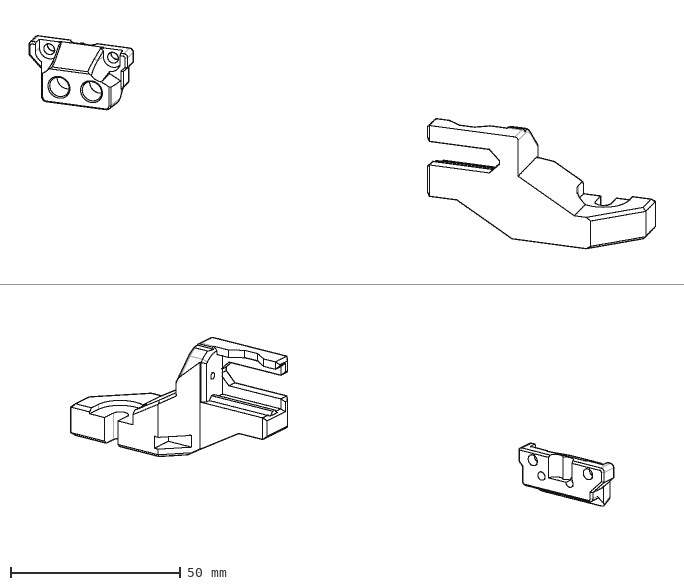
import cadquery as cq
import math

FORK_LEFT = 131.7
FOOT_RIGHT = 196.0
TOTAL_DEPTH = 25.3
TOTAL_HEIGHT = 34.0
EDGE_CHAMFER = 1.0
NEAR = 0.2
MARGIN = 2.0

FORK_TOP = 32.5
LOWER_ARM_BOTTOM = 10.0
FOOT_TOP = 10.0
FOOT_DEPTH = 21.2
ARM_DEPTH = 12.3
RAMP_ANGLE = 30.0
WALL_RIGHT = 160.5
RAMP_TOP = 20.2
LOWER_RAMP_LEFT = 141.3
FOOT_CORNER_CUT = 12.7

SLOT_BOTTOM = 20.0
SLOT_TOP = 27.5
SLOT_STRAIGHT_END = 151.5
SLOT_TAPER = 3.1

SHOULDER_LEFT = 155.5
BLOCK_LEFT = 153.8
FRONT_WALL = 3.1
SHELF_Z = 16.9
WEB_BOTTOM = 30.2
WEB_DEPTH = 5.9
ROOF_RADIUS = 8.0
ROOF_FALL_ANGLE = 45.0
BLOCK_CHAMFER = 1.2

RIB_CENTRE_Y = 8.0
RIB_BASE = 3.5
RIB_HEIGHT = 1.2
ROOF_GROOVE_WIDTH = 2.7
ROOF_GROOVE_DEPTH = 0.5
WIRE_HOLE_D = 2.0
WIRE_HOLE_Z = 24.1
WIRE_HOLE_DEPTH = 4.0

SCALLOP_X = 143.3
SCALLOP_TOP_WIDTH = 12.7
SCALLOP_FLOOR_WIDTH = 4.7
SCALLOP_DEPTH = 2.5

SCREW_X = 181.3
SCREW_Y = 16.7
SCREW_SLOT_WIDTH = 4.9
SCREW_SEAT_RADIUS = 7.8
SCREW_SEAT_DEPTH = 1.5

NUT_SLOT_BOTTOM = 2.7
NUT_SLOT_TOP = 6.5
NUT_SLOT_FRONT = 14.1
NUT_SLOT_END = 165.5

PLATE_WIDTH = 31.0
PLATE_FRONT = 19.2
PLATE_BOTTOM = 22.3
PLATE_EAR_BOTTOM = 29.5
PLATE_CHAMFER = 0.5
PLATE_CORNER_RADIUS = 1.2
PLATE_NECK_LEFT = 4.1
PLATE_NECK_RIGHT = 29.5

BODY_FRONT = 12.2
BODY_BOTTOM = 18.5
BODY_FRONT_LEFT = 6.7
BODY_FRONT_RIGHT = 28.2
BODY_BACK_RIGHT = 29.0
BODY_CORNER_RADIUS = 1.5
RIM_CHAMFER = 0.4
ROOF_FRONT_Z = 29.5
ROOF_BACK_Y = 22.5
ROOF_CHAMFER = 0.8
HEEL_BACK_Y = 17.2

EAR_HOLE_X = 5.5
EAR_HOLE_SPACING = 20.0
EAR_HOLE_Z = 31.2
EAR_HOLE_D = 3.3
HEAD_POCKET_D = 6.0
HEAD_SEAT_Y = 22.1
DRIVER_GROOVE_RADIUS = 4.0
SHOULDER_ANGLE = 28.0

BORE_X = 12.2
BORE_SPACING = 10.2
BORE_Z = 23.7
BORE_D = 6.0
BORE_DEPTH = 6.9
PASSAGE_D = 2.5
PASSAGE_Z = 26.8

NOTCH_SPACING = 3.7
NOTCH_RADIUS = 2.4


def box(x, y, z):
    """Box between the given (low, high) limits on each axis."""
    size = [high - low for low, high in (x, y, z)]
    return cq.Workplane("XY").box(*size, centered=False).translate((x[0], y[0], z[0]))


def extrude_y(points, front, back):
    """Closed XZ outline extruded from y = front to y = back."""
    return cq.Workplane("XZ", origin=(0, front, 0)).polyline(points).close().extrude(front - back)


def extrude_z(points, bottom, top):
    """Closed XY outline extruded from z = bottom to z = top."""
    return cq.Workplane("XY", origin=(0, 0, bottom)).polyline(points).close().extrude(top - bottom)


def cylinder_y(x, z, radius, front, back):
    """Round bar along Y."""
    return cq.Workplane("XZ", origin=(x, front, z)).circle(radius).extrude(front - back)


def cone_y(x, z, front_radius, back_radius, front, back):
    """Truncated cone along Y."""
    base = cq.Vector(x, front, z)
    return cq.Workplane(cq.Solid.makeCone(front_radius, back_radius, back - front, base, cq.Vector(0, 1, 0)))


def bracket_blank():
    """Side outline crossed with the plan outline, with the foot edges chamfered."""
    ramp = math.tan(math.radians(RAMP_ANGLE))
    ramp_foot = WALL_RIGHT + (RAMP_TOP - FOOT_TOP) / ramp
    side = [
        (FORK_LEFT, LOWER_ARM_BOTTOM),
        (LOWER_RAMP_LEFT, LOWER_ARM_BOTTOM),
        (LOWER_RAMP_LEFT + LOWER_ARM_BOTTOM / ramp, 0),
        (FOOT_RIGHT, 0),
        (FOOT_RIGHT, FOOT_TOP),
        (ramp_foot, FOOT_TOP),
        (WALL_RIGHT, RAMP_TOP),
        (WALL_RIGHT, FORK_TOP),
        (FORK_LEFT, FORK_TOP),
    ]
    plan = [
        (FORK_LEFT, 0),
        (FOOT_RIGHT - FOOT_CORNER_CUT, 0),
        (FOOT_RIGHT, FOOT_CORNER_CUT),
        (FOOT_RIGHT, FOOT_DEPTH),
        (SHOULDER_LEFT + FOOT_DEPTH - ARM_DEPTH, FOOT_DEPTH),
        (SHOULDER_LEFT, ARM_DEPTH),
        (FORK_LEFT, ARM_DEPTH),
    ]
    blank = extrude_y(side, 0, FOOT_DEPTH).intersect(extrude_z(plan, 0, FORK_TOP))

    def on_foot_rim(edge):
        centre = edge.Center()
        across_top = abs(centre.x - ramp_foot) < NEAR
        return centre.x > WALL_RIGHT and centre.y > 0 and not across_top

    return blank.edges("not |Z").filter(on_foot_rim).chamfer(EDGE_CHAMFER)


def fork_cuts():
    """Opening between the arms, and the step behind its front wall."""
    slot = [
        (FORK_LEFT - MARGIN, SLOT_BOTTOM),
        (SLOT_STRAIGHT_END, SLOT_BOTTOM),
        (SLOT_STRAIGHT_END + SLOT_TAPER, SLOT_BOTTOM + SLOT_TAPER),
        (SLOT_STRAIGHT_END + SLOT_TAPER, SLOT_TOP - SLOT_TAPER),
        (SLOT_STRAIGHT_END, SLOT_TOP),
        (FORK_LEFT - MARGIN, SLOT_TOP),
    ]
    arms_x = (FORK_LEFT - MARGIN, BLOCK_LEFT)
    behind_wall = box(arms_x, (FRONT_WALL, FOOT_DEPTH), (SHELF_Z, WEB_BOTTOM))
    behind_web = box(arms_x, (WEB_DEPTH, FOOT_DEPTH), (SHELF_Z, FORK_TOP + MARGIN))
    return extrude_y(slot, -MARGIN, FRONT_WALL).union(behind_wall).union(behind_web)


def above_roof():
    """Everything above the roof, which rolls over from flat to a 45 degree fall toward the back."""
    roll = ROOF_RADIUS * math.sin(math.radians(ROOF_FALL_ANGLE))
    axis_z = FORK_TOP - ROOF_RADIUS
    half_roll = ROOF_RADIUS * math.sin(math.radians(ROOF_FALL_ANGLE / 2))
    half_rise = ROOF_RADIUS * math.cos(math.radians(ROOF_FALL_ANGLE / 2))
    fall = FOOT_DEPTH + MARGIN - WEB_DEPTH - roll
    return (
        cq.Workplane("YZ", origin=(FORK_LEFT, 0, 0))
        .moveTo(WEB_DEPTH, FORK_TOP)
        .threePointArc((WEB_DEPTH + half_roll, axis_z + half_rise), (WEB_DEPTH + roll, axis_z + roll))
        .line(fall, -fall)
        .lineTo(FOOT_DEPTH + MARGIN, FORK_TOP)
        .close()
        .extrude(FOOT_RIGHT - FORK_LEFT)
    )


def scallop():
    """Tapered bite out of the rear edge of the upper arm."""
    outline = [
        (SCALLOP_X - SCALLOP_TOP_WIDTH / 2, WEB_DEPTH),
        (SCALLOP_X - SCALLOP_FLOOR_WIDTH / 2, WEB_DEPTH - SCALLOP_DEPTH),
        (SCALLOP_X + SCALLOP_FLOOR_WIDTH / 2, WEB_DEPTH - SCALLOP_DEPTH),
        (SCALLOP_X + SCALLOP_TOP_WIDTH / 2, WEB_DEPTH),
    ]
    return extrude_z(outline, WEB_BOTTOM - MARGIN, FORK_TOP + MARGIN)


def shelf_rib():
    """45 degree sided rib along the lower arm."""
    half_base = RIB_BASE / 2
    half_top = half_base - RIB_HEIGHT
    return (
        cq.Workplane("YZ", origin=(FORK_LEFT, RIB_CENTRE_Y, SHELF_Z))
        .polyline([(-half_base, 0), (half_base, 0), (half_top, RIB_HEIGHT), (-half_top, RIB_HEIGHT)])
        .close()
        .extrude(BLOCK_LEFT - FORK_LEFT)
    )


def wire_cuts():
    """Blind wire hole in the block face and the shallow groove above it."""
    hole = (
        cq.Workplane("YZ", origin=(BLOCK_LEFT, RIB_CENTRE_Y, WIRE_HOLE_Z))
        .circle(WIRE_HOLE_D / 2)
        .extrude(WIRE_HOLE_DEPTH)
    )
    half_width = ROOF_GROOVE_WIDTH / 2
    groove = box(
        (BLOCK_LEFT, WALL_RIGHT),
        (RIB_CENTRE_Y - half_width, RIB_CENTRE_Y + half_width),
        (FORK_TOP - ROOF_GROOVE_DEPTH, FORK_TOP),
    )
    return hole.union(groove)


def screw_cuts():
    """Open-ended screw slot through the foot with a round seat for the screw head."""
    half_slot = SCREW_SLOT_WIDTH / 2
    slot_x = (SCREW_X - half_slot, SCREW_X + half_slot)
    seat_x = (SCREW_X - SCREW_SEAT_RADIUS, SCREW_X + SCREW_SEAT_RADIUS)
    open_y = (SCREW_Y, FOOT_DEPTH + MARGIN)
    seat_z = (FOOT_TOP - SCREW_SEAT_DEPTH, RAMP_TOP)
    slot_z = (-MARGIN, RAMP_TOP)
    slot_end = cq.Workplane("XY").center(SCREW_X, SCREW_Y).circle(half_slot).extrude(RAMP_TOP)
    seat_end = (
        cq.Workplane("XY", origin=(SCREW_X, SCREW_Y, seat_z[0]))
        .circle(SCREW_SEAT_RADIUS)
        .extrude(seat_z[1] - seat_z[0])
    )
    slot = slot_end.union(box(slot_x, open_y, slot_z))
    seat = seat_end.union(box(seat_x, open_y, seat_z))
    return slot.union(seat)


def nut_slot():
    """Flat pocket entered from the 45 degree shoulder, open to the back."""
    return box(
        (FORK_LEFT, NUT_SLOT_END),
        (NUT_SLOT_FRONT, FOOT_DEPTH + MARGIN),
        (NUT_SLOT_BOTTOM, NUT_SLOT_TOP),
    )


def make_bracket():
    body = bracket_blank().cut(fork_cuts()).cut(above_roof())

    def on_block_rim(edge):
        centre = edge.Center()
        on_face = edge.geomType() != "LINE" or centre.y > WEB_DEPTH + MARGIN
        return abs(centre.x - BLOCK_LEFT) < NEAR and on_face and centre.z > SHELF_Z + MARGIN

    body = body.edges().filter(on_block_rim).chamfer(BLOCK_CHAMFER)
    body = body.faces("<X").edges().chamfer(EDGE_CHAMFER)
    body = body.edges("|Y").edges(">Z").edges(">X").fillet(EDGE_CHAMFER)
    body = body.union(shelf_rib())
    for cut in (scallop(), wire_cuts(), screw_cuts(), nut_slot()):
        body = body.cut(cut)
    return body


def ear_positions():
    return [EAR_HOLE_X, EAR_HOLE_X + EAR_HOLE_SPACING]


def bore_positions():
    return [BORE_X, BORE_X + BORE_SPACING]


def mounting_plate():
    """Rear plate with an ear at each end, narrowing at 45 degrees below the ears."""
    left_drop = PLATE_NECK_LEFT
    right_drop = PLATE_WIDTH - PLATE_NECK_RIGHT
    outline = [
        (0, TOTAL_HEIGHT),
        (0, PLATE_EAR_BOTTOM),
        (left_drop, PLATE_EAR_BOTTOM - left_drop),
        (PLATE_NECK_LEFT, PLATE_BOTTOM),
        (PLATE_NECK_RIGHT, PLATE_BOTTOM),
        (PLATE_NECK_RIGHT, PLATE_EAR_BOTTOM - right_drop),
        (PLATE_WIDTH, PLATE_EAR_BOTTOM),
        (PLATE_WIDTH, TOTAL_HEIGHT),
    ]
    plate = extrude_y(outline, PLATE_FRONT, TOTAL_DEPTH)
    plate = plate.edges("|Y and (>Z or <Z)").fillet(PLATE_CORNER_RADIUS)
    return plate.faces("<Y or >Y").edges().chamfer(PLATE_CHAMFER)


def bored_body():
    """Tapered body in front of the plate, with a sloping roof and a cut-back heel."""
    plan = [
        (BODY_FRONT_LEFT, BODY_FRONT),
        (BODY_FRONT_RIGHT, BODY_FRONT),
        (BODY_BACK_RIGHT, PLATE_FRONT),
        (BODY_BACK_RIGHT, ROOF_BACK_Y),
        (PLATE_NECK_LEFT, ROOF_BACK_Y),
        (PLATE_NECK_LEFT, PLATE_FRONT),
    ]
    heel_rise = ROOF_BACK_Y - HEEL_BACK_Y
    side = [
        (BODY_FRONT, BODY_BOTTOM),
        (HEEL_BACK_Y, BODY_BOTTOM),
        (ROOF_BACK_Y, BODY_BOTTOM + heel_rise),
        (ROOF_BACK_Y, TOTAL_HEIGHT),
        (BODY_FRONT, ROOF_FRONT_Z),
    ]
    body = extrude_z(plan, BODY_BOTTOM, TOTAL_HEIGHT)
    body = body.intersect(cq.Workplane("YZ").polyline(side).close().extrude(PLATE_WIDTH))
    body = body.faces("<Z").edges("not |X").fillet(BODY_CORNER_RADIUS)
    return body.faces("<Y").edges().chamfer(RIM_CHAMFER)


def roof_cut():
    """Wedge above the roof slope, between the two head pockets."""
    wedge = [(BODY_FRONT, ROOF_FRONT_Z), (ROOF_BACK_Y, TOTAL_HEIGHT), (BODY_FRONT, TOTAL_HEIGHT)]
    left = ear_positions()[0] + HEAD_POCKET_D / 2
    right = ear_positions()[1] - HEAD_POCKET_D / 2
    return cq.Workplane("YZ", origin=(left, 0, 0)).polyline(wedge).close().extrude(right - left)


def shoulder_cut():
    """Falling shoulder outside the right driver groove."""
    groove_x = ear_positions()[1]
    groove_bottom = EAR_HOLE_Z - DRIVER_GROOVE_RADIUS
    run = PLATE_WIDTH - groove_x
    outline = [
        (groove_x, groove_bottom),
        (PLATE_WIDTH, groove_bottom - run * math.tan(math.radians(SHOULDER_ANGLE))),
        (PLATE_WIDTH, TOTAL_HEIGHT),
        (groove_x, TOTAL_HEIGHT),
    ]
    return extrude_y(outline, BODY_FRONT, PLATE_FRONT)


def driver_groove(x):
    """Open-topped groove that seats the screw head and flares toward the front for the driver."""
    head_radius = HEAD_POCKET_D / 2
    floor = cone_y(x, EAR_HOLE_Z, DRIVER_GROOVE_RADIUS, head_radius, BODY_FRONT, HEAD_SEAT_Y)
    mouth = [
        (x - DRIVER_GROOVE_RADIUS, BODY_FRONT),
        (x + DRIVER_GROOVE_RADIUS, BODY_FRONT),
        (x + head_radius, HEAD_SEAT_Y),
        (x - head_radius, HEAD_SEAT_Y),
    ]
    return extrude_z(mouth, EAR_HOLE_Z, TOTAL_HEIGHT + MARGIN).union(floor)


def ear_cuts():
    """Screw hole and driver groove at each ear."""
    cuts = cq.Workplane()
    for x in ear_positions():
        hole = cylinder_y(x, EAR_HOLE_Z, EAR_HOLE_D / 2, PLATE_FRONT, TOTAL_DEPTH)
        cuts = cuts.add(hole).add(driver_groove(x))
    return cuts.combine()


def bore_cuts():
    """Blind front bores, each with a small offset passage on to the back."""
    cuts = cq.Workplane()
    for x in bore_positions():
        bore = cylinder_y(x, BORE_Z, BORE_D / 2, BODY_FRONT, BODY_FRONT + BORE_DEPTH)
        passage = cylinder_y(x, PASSAGE_Z, PASSAGE_D / 2, BODY_FRONT + BORE_DEPTH, TOTAL_DEPTH)
        mouth = cone_y(x, BORE_Z, BORE_D / 2 + RIM_CHAMFER, BORE_D / 2, BODY_FRONT, BODY_FRONT + RIM_CHAMFER)
        cuts = cuts.add(bore).add(mouth).add(passage)
    return cuts.combine()


def rear_notches():
    """Two side by side round notches down the back, meeting in a sharp middle ridge."""
    middle = (ear_positions()[0] + ear_positions()[1]) / 2
    notches = cq.Workplane()
    for x in (middle - NOTCH_SPACING / 2, middle + NOTCH_SPACING / 2):
        base = cq.Workplane("XY", origin=(x, TOTAL_DEPTH, PASSAGE_Z))
        notches = notches.add(base.circle(NOTCH_RADIUS).extrude(TOTAL_HEIGHT - PASSAGE_Z))
    return notches.combine()


def make_guide_block():
    block = mounting_plate().union(bored_body())
    for cut in (roof_cut(), shoulder_cut(), ear_cuts()):
        block = block.cut(cut)

    def on_roof_side(edge):
        centre = edge.Center()
        return centre.z > ROOF_FRONT_Z and BODY_FRONT + MARGIN < centre.y < ROOF_BACK_Y - MARGIN

    roof_normal = (0, ROOF_FRONT_Z - TOTAL_HEIGHT, ROOF_BACK_Y - BODY_FRONT)
    roof = block.faces(cq.selectors.ParallelDirSelector(cq.Vector(*roof_normal)))
    block = roof.edges().filter(on_roof_side).chamfer(ROOF_CHAMFER)
    return block.cut(bore_cuts()).cut(rear_notches())


bracket = make_bracket()
guide_block = make_guide_block()
result = cq.Compound.makeCompound([bracket.val(), guide_block.val()])